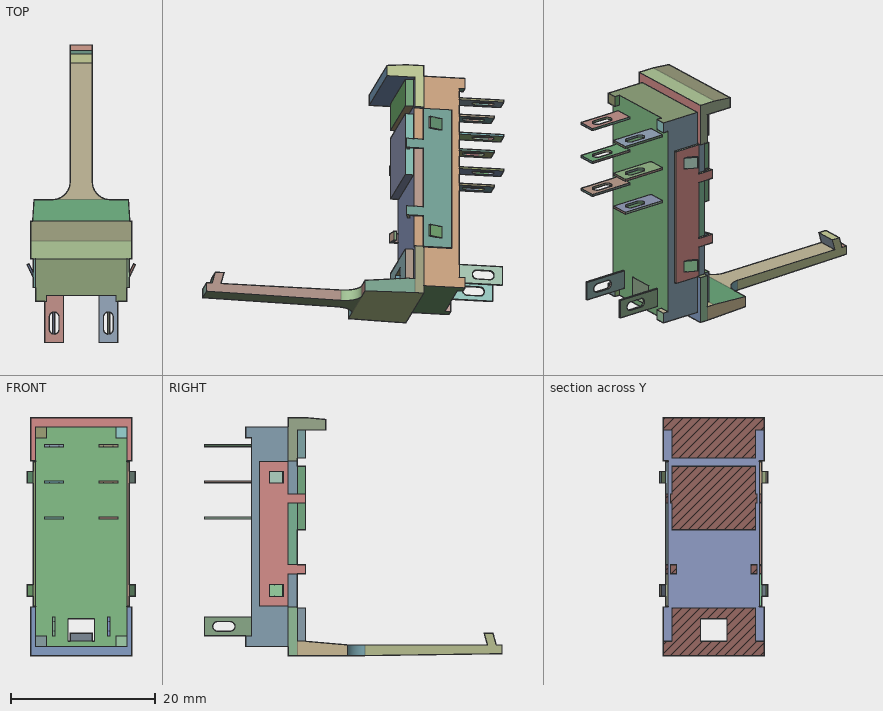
import cadquery as cq


flange_half_width = 7.0
flange_half_height = 16.5
flange_thickness = 1.25
hood_reach = 5.2
hood_thickness = 1.75
hood_slope_start = 2.45
hood_slope_drop = 0.25

body_half_width = 6.3
body_half_height = 15.2
body_depth = 5.1
foot_size = 1.5
foot_height = 0.8

block_half_width = 5.8
block_front = 2.4
shelf_top = -14.45
block_levels = [
    (10.9, flange_half_height - hood_thickness),
    (0.95, 9.77),
    (shelf_top, -9.85),
]

shelf_reach = 8.2
shelf_tip_half_width = 6.55
arm_top = -14.95
arm_half_width = 1.55
arm_tip = 29.6
arm_bottom_rise = 0.3
arm_root_radius = 2.45
barb_root_front = 28.8
barb_length = 1.25
barb_lean = 0.45
barb_height = 1.6

window_half_width = 1.8
window_bottom = shelf_top
window_top = -11.35

clip_center_z = 0.4
clip_height = 20.0
clip_depth = 4.0
clip_thickness = 0.35
clip_outer_x = body_half_width + clip_thickness
clip_recess_height = 20.2
hook_offset_z = 4.9
hook_height = 1.3
hook_leg_length = 1.5
hook_leg_setback = 0.4
spring_offset_z = 7.83
spring_height = 1.63
spring_tip_x = 7.5
spring_root_y = -2.6
spring_tip_y = -0.8
spring_root_thickness = 0.7

flat_terminal_x = 3.75
upright_terminal_x = 3.8
terminal_width = 2.65
terminal_thickness = 0.3
terminal_tip = -11.6
flat_terminal_levels = [12.6, 7.6, 2.6]
upright_terminal_z = -12.4
eyelet_y = -8.9
eyelet_length = 3.05
eyelet_width = 1.3


def box(x_range, y_range, z_range):
    """Box spanning the given (low, high) ranges."""
    spans = [high - low for low, high in (x_range, y_range, z_range)]
    corner = (x_range[0], y_range[0], z_range[0])
    return cq.Workplane("XY").box(*spans, centered=False).translate(corner)


def centered_range(center, length):
    """(low, high) range of the given length about a center."""
    return (center - length / 2, center + length / 2)


def side_profile(points, half_width):
    """Extrude a (Y, Z) outline symmetrically about X = 0."""
    return cq.Workplane("YZ").polyline(points).close().extrude(half_width, both=True)


def make_flange():
    """Flange plate and hood, with a recess in each side for the clips."""
    hood_bottom = flange_half_height - hood_thickness
    flange = side_profile(
        [
            (0, -flange_half_height),
            (flange_thickness, -flange_half_height),
            (flange_thickness, hood_bottom),
            (hood_reach, hood_bottom),
            (hood_reach, flange_half_height - hood_slope_drop),
            (hood_slope_start, flange_half_height),
            (0, flange_half_height),
        ],
        flange_half_width,
    )
    recess_levels = centered_range(clip_center_z, clip_recess_height)
    for x_range in (
        (-flange_half_width, -body_half_width),
        (body_half_width, flange_half_width),
    ):
        flange = flange.cut(box(x_range, (0, flange_thickness), recess_levels))
    return flange


def make_body():
    """Rectangular body with four rear corner feet."""
    body = box(
        (-body_half_width, body_half_width),
        (-body_depth, 0),
        (-body_half_height, body_half_height),
    )
    feet = (
        cq.Workplane("XZ", origin=(0, -body_depth, 0))
        .rect(2 * body_half_width - foot_size, 2 * body_half_height - foot_size, forConstruction=True)
        .vertices()
        .rect(foot_size, foot_size)
        .extrude(foot_height)
    )
    return body.union(feet)


def make_blocks():
    """Raised blocks on the front of the flange."""
    blocks = cq.Workplane("XY")
    for levels in block_levels:
        blocks = blocks.add(
            box((-block_half_width, block_half_width), (flange_thickness, block_front), levels)
        )
    return blocks.combine()


def make_shelf():
    """Shelf that narrows and slopes down toward the arm."""
    shelf = side_profile(
        [
            (flange_thickness, -flange_half_height),
            (shelf_reach, -flange_half_height),
            (shelf_reach, arm_top),
            (block_front, shelf_top),
            (flange_thickness, shelf_top),
        ],
        flange_half_width,
    )
    plan = (
        cq.Workplane("XY")
        .polyline(
            [
                (-flange_half_width, flange_thickness),
                (flange_half_width, flange_thickness),
                (shelf_tip_half_width, shelf_reach),
                (-shelf_tip_half_width, shelf_reach),
            ]
        )
        .close()
        .extrude(flange_half_height, both=True)
    )
    return shelf.intersect(plan)


def make_arm():
    """Latch arm with rounded root corners and a leaning barb near its tip."""
    root_half_width = arm_half_width + arm_root_radius
    root_end = shelf_reach + arm_root_radius
    arm = side_profile(
        [
            (shelf_reach, -flange_half_height),
            (arm_tip, -flange_half_height + arm_bottom_rise),
            (arm_tip, arm_top),
            (shelf_reach, arm_top),
        ],
        root_half_width,
    )
    plan = (
        cq.Workplane("XY")
        .moveTo(-root_half_width, shelf_reach)
        .lineTo(root_half_width, shelf_reach)
        .radiusArc((arm_half_width, root_end), arm_root_radius)
        .lineTo(arm_half_width, arm_tip)
        .lineTo(-arm_half_width, arm_tip)
        .lineTo(-arm_half_width, root_end)
        .radiusArc((-root_half_width, shelf_reach), arm_root_radius)
        .close()
        .extrude(flange_half_height, both=True)
    )
    barb_root_rear = barb_root_front - barb_length
    barb = side_profile(
        [
            (barb_root_rear, arm_top),
            (barb_root_front, arm_top),
            (barb_root_front - barb_lean, arm_top + barb_height),
            (barb_root_rear - barb_lean, arm_top + barb_height),
        ],
        arm_half_width,
    )
    return arm.intersect(plan).union(barb)


def make_clip():
    """Clip on the -X side: a plate, two hooks bent inward and two flared springs."""
    plate_x = (-clip_outer_x, -body_half_width)
    clip = box(plate_x, (-clip_depth, 0), centered_range(clip_center_z, clip_height))
    for side in (-1, 1):
        hook_levels = centered_range(clip_center_z + side * hook_offset_z, hook_height)
        hook = box(plate_x, (0, block_front - clip_thickness), hook_levels)
        leg = make_hook_leg(hook_levels[0])
        spring_bottom = clip_center_z + side * spring_offset_z - spring_height / 2
        clip = clip.union(hook).union(leg).union(make_spring(spring_bottom))
    return clip


def make_hook_leg(bottom):
    """End leg of a -X clip hook, running inward and slightly back toward the flange."""
    leg_end_x = -clip_outer_x + hook_leg_length
    leg_end_front = block_front - hook_leg_setback
    return (
        cq.Workplane("XY", origin=(0, 0, bottom))
        .polyline(
            [
                (-clip_outer_x, block_front - clip_thickness),
                (-clip_outer_x, block_front),
                (leg_end_x, leg_end_front),
                (leg_end_x, leg_end_front - clip_thickness),
            ]
        )
        .close()
        .extrude(hook_height)
    )


def make_spring(bottom):
    """Flared spring of the -X clip, standing on the outer face of the clip plate."""
    flare = spring_tip_x - clip_outer_x
    rise = spring_tip_y - spring_root_y
    length = (flare**2 + rise**2) ** 0.5
    thickness = spring_root_thickness * flare / length
    inner_tip = (
        -spring_tip_x + thickness * rise / length,
        spring_tip_y + thickness * flare / length,
    )
    inner_root = (-clip_outer_x, spring_root_y + spring_root_thickness)
    return (
        cq.Workplane("XY", origin=(0, 0, bottom))
        .polyline(
            [
                (-clip_outer_x, spring_root_y),
                (-spring_tip_x, spring_tip_y),
                inner_tip,
                inner_root,
            ]
        )
        .close()
        .extrude(spring_height)
    )


def make_terminal():
    """Flat terminal with an eyelet, centered on X = 0 and Z = 0."""
    blade = box(
        centered_range(0, terminal_width),
        (terminal_tip, -body_depth),
        centered_range(0, terminal_thickness),
    )
    eyelet = (
        cq.Workplane("XY")
        .center(0, eyelet_y)
        .slot2D(eyelet_length, eyelet_width, 90)
        .extrude(terminal_thickness, both=True)
    )
    return blade.cut(eyelet)


flat_terminal = make_terminal()
upright_terminal = flat_terminal.rotate((0, 0, 0), (0, 1, 0), 90)
left_clip = make_clip()

result = make_flange().union(make_body()).union(make_blocks()).union(make_shelf()).union(make_arm())
result = result.union(left_clip).union(left_clip.mirror("YZ"))
result = result.cut(
    box(
        (-window_half_width, window_half_width),
        (-body_depth, block_front),
        (window_bottom, window_top),
    )
)
for side in (-1, 1):
    for level in flat_terminal_levels:
        result = result.union(flat_terminal.translate((side * flat_terminal_x, 0, level)))
    result = result.union(
        upright_terminal.translate((side * upright_terminal_x, 0, upright_terminal_z))
    )